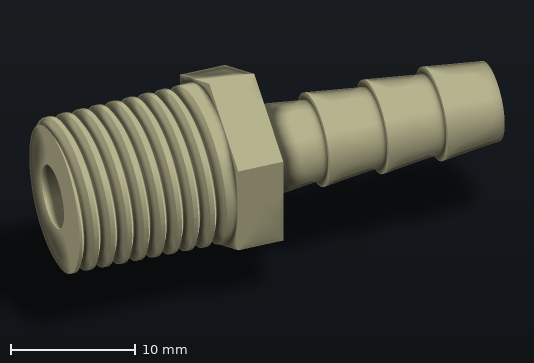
import cadquery as cq
import math

total_length = 37.5
thread_length = 13.4
hex_length = 3.85
barb_count = 4
hex_across_flats = 13.75
bore_diameter = 5.33

barb_root_radius = 3.3
barb_crest_radius = 3.9

shank_radius = 6.65
shank_end_radius = 6.38
groove_turns = 9
groove_depth = 0.83
groove_mouth = 1.0
groove_floor = 0.1
groove_start_drop = 0.7
groove_start_angle = 8.5
cut_clearance = 0.08

thread_end_y = -total_length / 2
hex_start_y = thread_end_y + thread_length
hex_end_y = hex_start_y + hex_length
barb_length = (total_length / 2 - hex_end_y) / barb_count
pitch = (thread_length - groove_start_drop) / groove_turns
taper_slope = (shank_radius - shank_end_radius) / thread_length


def make_body():
    """Revolve the plain tapered shank and the stack of hose barbs about Y."""
    outline = (
        cq.Workplane("XY")
        .moveTo(0, thread_end_y)
        .lineTo(shank_end_radius, thread_end_y)
        .lineTo(shank_radius, hex_start_y)
        .lineTo(shank_radius, hex_end_y)
    )
    for barb in range(barb_count):
        base_y = hex_end_y + barb * barb_length
        outline = outline.lineTo(barb_crest_radius, base_y)
        outline = outline.lineTo(barb_root_radius, base_y + barb_length)
    return outline.lineTo(0, total_length / 2).close().revolve(360, (0, 0), (0, 1))


def make_hexagon():
    """Wrench hexagon with two corners pointing along Z."""
    across_corners = hex_across_flats / math.cos(math.radians(30))
    return (
        cq.Workplane("XZ", origin=(0, hex_end_y, 0))
        .transformed(rotate=(0, 0, 90))
        .polygon(6, across_corners)
        .extrude(hex_length)
    )


def make_groove():
    """Right-hand V groove that starts near the hexagon and runs out of the end."""
    turns = groove_turns + 1
    run = turns * pitch
    start_radius = shank_radius - taper_slope * groove_start_drop
    taper_angle = math.degrees(math.atan(taper_slope))
    end_radius = start_radius - taper_slope * run
    path = cq.Wire.makeHelix(pitch, run, end_radius, angle=taper_angle)
    flank_slope = (groove_mouth - groove_floor) / 2 / groove_depth
    outer_half = groove_mouth / 2 + cut_clearance * flank_slope
    floor_half = groove_floor / 2
    outer_radius = end_radius + cut_clearance
    floor_radius = end_radius - groove_depth
    groove = (
        cq.Workplane("XZ")
        .polyline([
            (floor_radius, -floor_half),
            (outer_radius, -outer_half),
            (outer_radius, outer_half),
            (floor_radius, floor_half),
        ])
        .close()
        .sweep(cq.Workplane(path), isFrenet=True)
    )
    groove = groove.rotate((0, 0, 0), (0, 0, 1), 180 - groove_start_angle - 360 * turns)
    groove = groove.rotate((0, 0, 0), (1, 0, 0), -90)
    return groove.translate((0, hex_start_y - groove_start_drop - run, 0))


def make_bore():
    """Straight bore through the full length."""
    return (
        cq.Workplane("XZ", origin=(0, total_length / 2, 0))
        .circle(bore_diameter / 2)
        .extrude(total_length)
    )


body = make_body().cut(make_groove())
result = body.union(make_hexagon()).cut(make_bore())